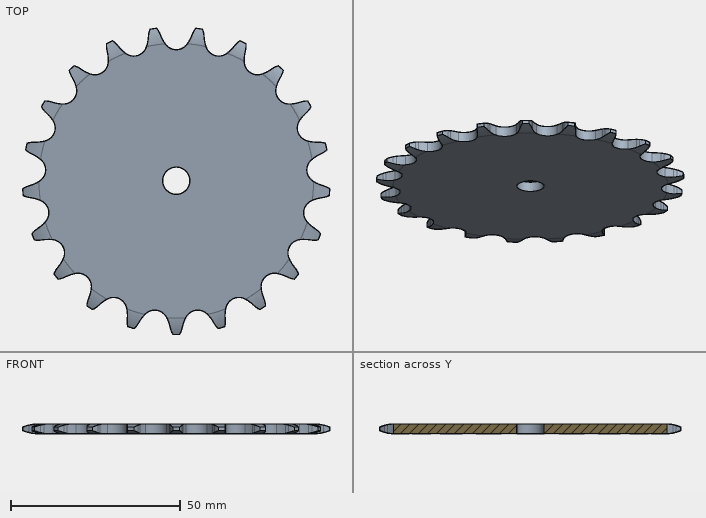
import cadquery as cq
import math

tooth_count = 21
thickness = 3.0
overall_width = 90.9
bore_diameter = 8.0

chain_pitch = 12.7
roller_diameter = 7.7
tooth_angle = 360 / tooth_count
pitch_radius = chain_pitch / 2 / math.sin(math.pi / tooth_count)

tip_half_angle = 1.3
tip_radius = overall_width / 2 / math.cos(math.radians(tooth_angle / 4 - tip_half_angle))

seat_radius = 3.9
working_offset = 0.8 * roller_diameter
working_radius = seat_radius + working_offset
topping_offset = 1.4 * roller_diameter
seat_end_angle = 35 + 60 / tooth_count
working_sweep = 18 - 56 / tooth_count
topping_sweep = 40

bevel_radius = chain_pitch
bevel_start_radius = 40.6


def bevel_drop(radius):
    """Depth of the rounded tooth side below the flat face at a given radius."""
    return bevel_radius - math.sqrt(bevel_radius**2 - (radius - bevel_start_radius) ** 2)


def make_blank():
    """Solid disc whose rim narrows along an arc on both faces."""
    half = thickness / 2
    middle_radius = (bevel_start_radius + tip_radius) / 2
    middle_half = half - bevel_drop(middle_radius)
    tip_half = half - bevel_drop(tip_radius)
    profile = (
        cq.Workplane("XZ")
        .moveTo(0, -half)
        .lineTo(bevel_start_radius, -half)
        .threePointArc((middle_radius, -middle_half), (tip_radius, -tip_half))
        .lineTo(tip_radius, tip_half)
        .threePointArc((middle_radius, middle_half), (bevel_start_radius, half))
        .lineTo(0, half)
        .close()
    )
    return profile.revolve(360, (0, 0, 0), (0, 1, 0))


def offset_point(start, distance, angle):
    """Point at a distance from start, angle in degrees counterclockwise from +X."""
    turn = math.radians(angle)
    return cq.Vector(start.x + distance * math.cos(turn), start.y + distance * math.sin(turn))


def mirrored(point):
    """Same point on the left-hand side of the gap."""
    return cq.Vector(-point.x, point.y)


def make_gap():
    """Cutter for the gap centered on +Y, laid out on its right-hand side and mirrored."""
    roller_center = cq.Vector(0, pitch_radius)
    seat_bottom = offset_point(roller_center, seat_radius, -90)
    seat_end = offset_point(roller_center, seat_radius, -seat_end_angle)

    working_center = offset_point(roller_center, working_offset, 180 - seat_end_angle)
    working_middle = offset_point(working_center, working_radius, -seat_end_angle + working_sweep / 2)
    flat_angle = -seat_end_angle + working_sweep
    flat_start = offset_point(working_center, working_radius, flat_angle)

    topping_center = offset_point(roller_center, topping_offset, -tooth_angle / 2)
    flat_normal = offset_point(cq.Vector(0, 0), 1, flat_angle)
    topping_radius = (topping_center - flat_start).dot(flat_normal)
    flat_end = offset_point(topping_center, -topping_radius, flat_angle)
    topping_middle = offset_point(topping_center, -topping_radius, flat_angle - topping_sweep / 2)
    topping_end = offset_point(topping_center, -topping_radius, flat_angle - topping_sweep)

    return (
        cq.Workplane("XY")
        .moveTo(topping_end.x, topping_end.y)
        .threePointArc(topping_middle, flat_end)
        .lineTo(flat_start.x, flat_start.y)
        .threePointArc(working_middle, seat_end)
        .threePointArc(seat_bottom, mirrored(seat_end))
        .threePointArc(mirrored(working_middle), mirrored(flat_start))
        .lineTo(-flat_end.x, flat_end.y)
        .threePointArc(mirrored(topping_middle), mirrored(topping_end))
        .close()
        .extrude(thickness, both=True)
    )


result = make_blank()

gap = make_gap()
for index in range(tooth_count):
    result = result.cut(gap.rotate((0, 0, 0), (0, 0, 1), index * tooth_angle))

bore = cq.Workplane("XY").circle(bore_diameter / 2).extrude(thickness, both=True)
result = result.cut(bore)